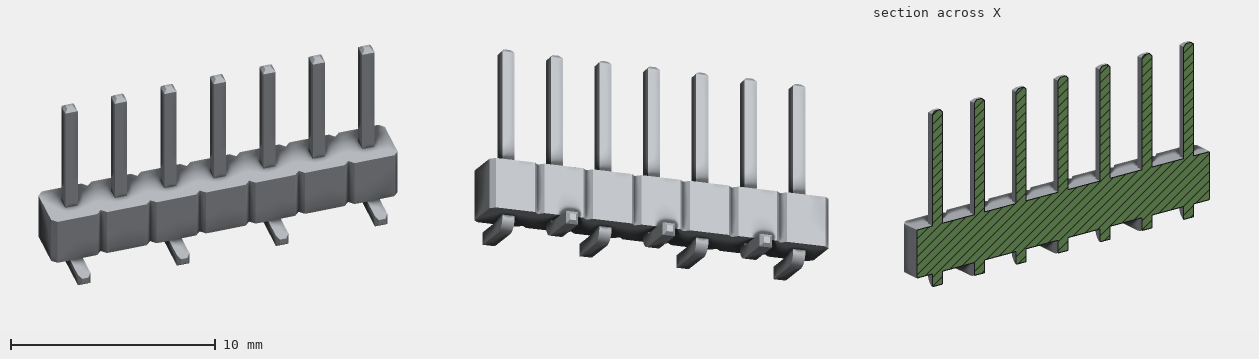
import cadquery as cq


pin_count = 7
pitch = 2.54
body_width = 2.54
body_height = 2.54
body_chamfer = 0.254
standoff = 0.76
pin_size = 0.64
tip_chamfer = 0.16
foot_span = 5.0
total_height = 9.3

half_pin = pin_size / 2
foot_reach = foot_span / 2
bend_radius = pin_size
row_length = pin_count * pitch
first_pin_y = (row_length - pitch) / 2


def make_body_segment(y):
    """One pitch of the plastic strip, with its four upright corners chamfered."""
    return (
        cq.Workplane("XY", origin=(0, y, standoff))
        .rect(body_width, pitch)
        .extrude(body_height)
        .edges("|Z")
        .chamfer(body_chamfer)
    )


def make_pin():
    """A pin at Y = 0: upright post and foot toward +X, with a sharp inside and round outside bend."""
    pin = (
        cq.Workplane("XZ")
        .moveTo(-half_pin, total_height)
        .lineTo(half_pin, total_height)
        .lineTo(half_pin, pin_size)
        .lineTo(foot_reach, pin_size)
        .lineTo(foot_reach, 0)
        .lineTo(bend_radius - half_pin, 0)
        .radiusArc((-half_pin, bend_radius), bend_radius)
        .close()
        .extrude(half_pin, both=True)
    )
    pin = pin.faces(">Z").chamfer(tip_chamfer)
    return pin.faces(">X").chamfer(tip_chamfer)


right_pin = make_pin()
left_pin = right_pin.mirror("YZ")

segment_positions = [first_pin_y - index * pitch for index in range(pin_count)]

result = make_body_segment(segment_positions[0])
for y in segment_positions[1:]:
    result = result.union(make_body_segment(y))
result = result.clean()

for index, y in enumerate(segment_positions):
    pin = right_pin if index % 2 == 0 else left_pin
    result = result.union(pin.translate((0, y, 0)))